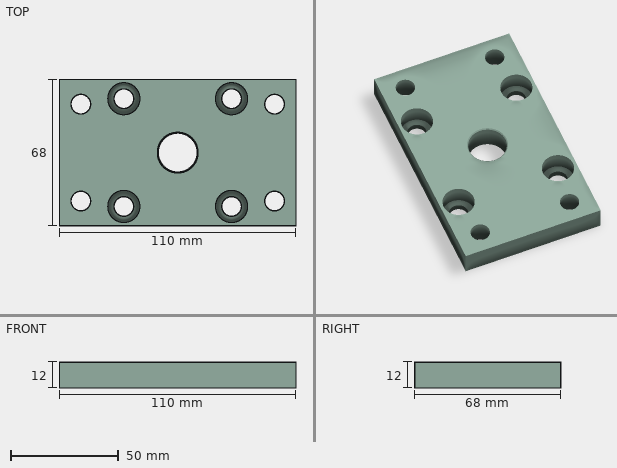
import cadquery as cq

length = 110.0
width = 68.0
thickness = 12.0

bolt_hole_diameter = 9.0
corner_spacing_x = 90.0
corner_spacing_y = 45.0

counterbore_diameter = 15.0
counterbore_depth = 8.9
counterbore_spacing = 50.0

bore_diameter = 18.0
bore_chamfer = 0.5


def make_plate():
    """Rectangular plate centred in X and Y, resting on Z = 0."""
    return cq.Workplane("XY").box(length, width, thickness, centered=(True, True, False))


def drill_corner_holes(plate):
    """Four plain through holes."""
    return (
        plate.faces(">Z").workplane(origin=(0, 0, thickness))
        .rarray(corner_spacing_x, corner_spacing_y, 2, 2)
        .hole(bolt_hole_diameter)
    )


def drill_counterbored_holes(plate):
    """Four through holes counterbored from the top face."""
    return (
        plate.faces(">Z").workplane(origin=(0, 0, thickness))
        .rarray(counterbore_spacing, counterbore_spacing, 2, 2)
        .cboreHole(bolt_hole_diameter, counterbore_diameter, counterbore_depth)
    )


def cut_central_bore(plate):
    """Central through bore, widened at the top by a 45 degree chamfer."""
    rim_diameter = bore_diameter + 2 * bore_chamfer
    bore = cq.Workplane("XY").circle(bore_diameter / 2).extrude(thickness)
    countersink = (
        cq.Workplane("XY").workplane(offset=thickness - bore_chamfer)
        .circle(bore_diameter / 2)
        .workplane(offset=bore_chamfer)
        .circle(rim_diameter / 2)
        .loft()
    )
    return plate.cut(bore).cut(countersink)


plate = make_plate()
plate = drill_corner_holes(plate)
plate = drill_counterbored_holes(plate)
result = cut_central_bore(plate)